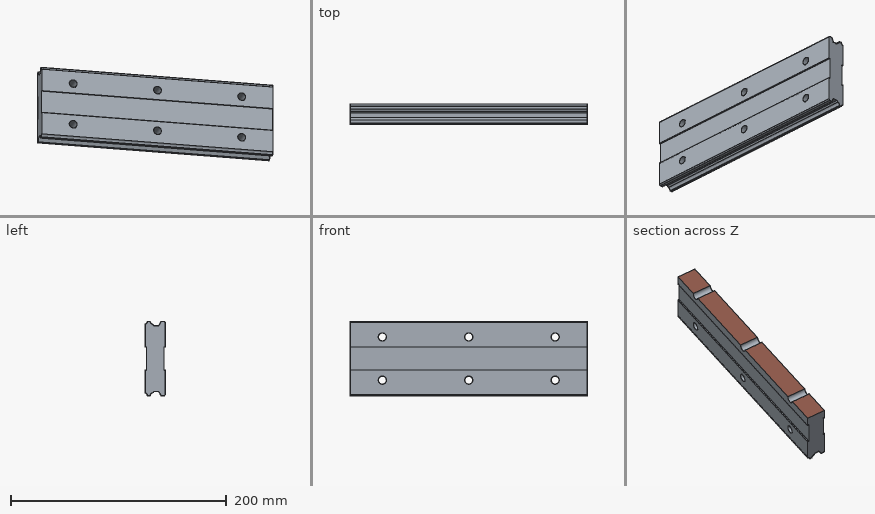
import cadquery as cq

length = 220.0
thickness = 19.0
height = 69.0

recess_height = 21.3
recess_depth = 1.3

cove_end_y = 7.5
back_land_start_y = 7.0
cove_depth = 2.6
lip_depth = 0.5
cove_sag = 0.55
back_land_end_y = 4.8
groove_arc_start_y = 4.6
groove_arc_end_y = 2.5
groove_arc_depth = 2.6
groove_arc_sag = 0.5
groove_floor_start_y = 1.0
groove_floor_end_y = -3.0
groove_depth = 4.0
front_land_start_y = -5.5
front_chamfer = 1.0

hole_diameter = 7.3
hole_columns = 3
hole_pitch_x = 80.0
hole_pitch_z = 40.0

half_thickness = thickness / 2
half_height = height / 2
half_recess = recess_height / 2
recess_y = half_thickness - recess_depth


def make_bar():
    """Extrude the upper half of the section and mirror it about the XY plane."""
    upper_half = (
        cq.Workplane("YZ", origin=(-length / 2, 0, 0))
        .moveTo(-recess_y, 0)
        .lineTo(recess_y, 0)
        .lineTo(recess_y, half_recess)
        .lineTo(half_thickness, half_recess)
        .lineTo(half_thickness, half_height - cove_depth)
        .sagittaArc((cove_end_y, half_height - lip_depth), cove_sag)
        .lineTo(back_land_start_y, half_height)
        .lineTo(back_land_end_y, half_height)
        .lineTo(groove_arc_start_y, half_height - lip_depth)
        .sagittaArc((groove_arc_end_y, half_height - groove_arc_depth), groove_arc_sag)
        .lineTo(groove_floor_start_y, half_height - groove_depth)
        .lineTo(groove_floor_end_y, half_height - groove_depth)
        .lineTo(front_land_start_y, half_height)
        .lineTo(-half_thickness + front_chamfer, half_height)
        .lineTo(-half_thickness, half_height - front_chamfer)
        .lineTo(-half_thickness, half_recess)
        .lineTo(-recess_y, half_recess)
        .close()
        .extrude(length)
    )
    return upper_half.union(upper_half.mirror("XY")).clean()


def make_holes():
    """Two rows of round cutters through the full thickness."""
    return (
        cq.Workplane("XZ", origin=(0, half_thickness, 0))
        .rarray(hole_pitch_x, hole_pitch_z, hole_columns, 2)
        .circle(hole_diameter / 2)
        .extrude(thickness)
    )


result = make_bar().cut(make_holes())